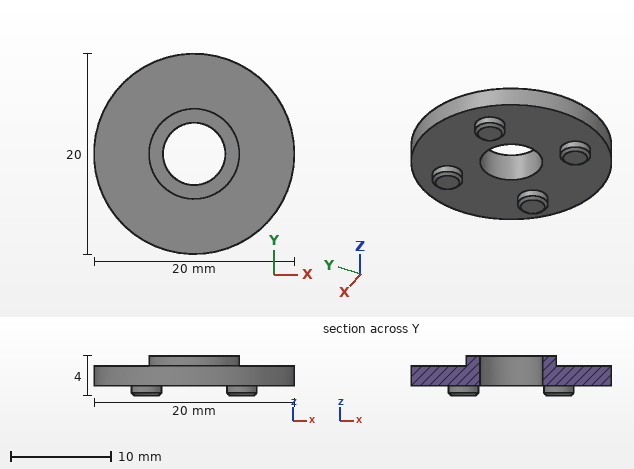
import cadquery as cq

disc_diameter = 20.0
disc_thickness = 2.0

collar_diameter = 9.0
collar_height = 1.0
bore_diameter = 6.2

pin_diameter = 3.0
pin_length = 1.0
pin_spacing = 9.5
pin_chamfer = 0.3


def make_flange():
    """Disc and collar with the bore running through both."""
    disc = cq.Workplane("XY").circle(disc_diameter / 2).extrude(disc_thickness)
    collared = disc.faces(">Z").workplane().circle(collar_diameter / 2).extrude(collar_height)
    return collared.faces(">Z").workplane().circle(bore_diameter / 2).cutThruAll()


def make_pins():
    """Four downward pins with chamfered tips."""
    pins = (
        cq.Workplane("XY")
        .rect(pin_spacing, pin_spacing, forConstruction=True)
        .vertices()
        .circle(pin_diameter / 2)
        .extrude(-pin_length)
    )
    return pins.faces("<Z").edges().chamfer(pin_chamfer)


result = make_flange().union(make_pins())